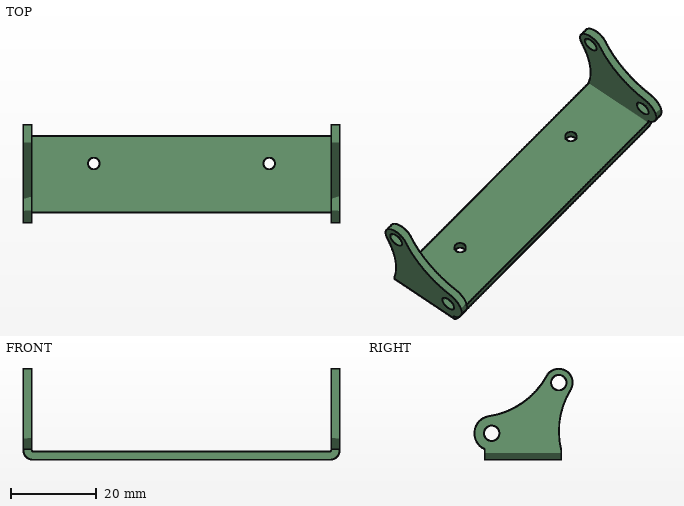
import cadquery as cq
import math

length = 74.0
thickness = 2.0
inner_bend_radius = 0.3
outer_bend_radius = thickness + inner_bend_radius
base_width = 17.9

base_hole_diameter = 2.7
base_hole_spacing = 41.0
base_hole_y = 2.5

upper_eye = (8.35, 18.05)
upper_eye_radius = 3.25
lower_eye = (-7.3, 6.2)
lower_eye_radius = 4.1
eye_hole_diameter = 3.55

back_arc_radius = 18.5
front_arc_radius = 18.5


def circle_crossing(first, first_radius, second, second_radius):
    """Crossing of two circles on the left of the line from first to second."""
    dy = second[0] - first[0]
    dz = second[1] - first[1]
    distance = math.hypot(dy, dz)
    along = (distance**2 + first_radius**2 - second_radius**2) / (2 * distance)
    aside = math.sqrt(first_radius**2 - along**2)
    return (
        first[0] + (along * dy - aside * dz) / distance,
        first[1] + (along * dz + aside * dy) / distance,
    )


def toward(start, target, distance):
    """Point at the given distance from start in the direction of target."""
    share = distance / math.dist(start, target)
    return (
        start[0] + share * (target[0] - start[0]),
        start[1] + share * (target[1] - start[1]),
    )


def midpoint(first, second):
    return ((first[0] + second[0]) / 2, (first[1] + second[1]) / 2)


def ear_blank():
    """Ear outline in the YZ plane, extruded over the full length."""
    back_foot = (base_width / 2, outer_bend_radius)
    front_foot_y = -base_width / 2
    front_foot_drop = math.sqrt(lower_eye_radius**2 - (front_foot_y - lower_eye[0]) ** 2)
    front_foot = (front_foot_y, lower_eye[1] - front_foot_drop)

    back_centre = circle_crossing(
        upper_eye, upper_eye_radius + back_arc_radius, back_foot, back_arc_radius
    )
    front_centre = circle_crossing(
        lower_eye,
        lower_eye_radius + front_arc_radius,
        upper_eye,
        upper_eye_radius + front_arc_radius,
    )
    back_tangent = toward(upper_eye, back_centre, upper_eye_radius)
    upper_tangent = toward(upper_eye, front_centre, upper_eye_radius)
    lower_tangent = toward(lower_eye, front_centre, lower_eye_radius)

    back_middle = toward(back_centre, midpoint(back_foot, back_tangent), back_arc_radius)
    front_middle = toward(front_centre, midpoint(upper_tangent, lower_tangent), front_arc_radius)
    upper_eye_top = (upper_eye[0], upper_eye[1] + upper_eye_radius)
    lower_eye_tip = (lower_eye[0] - lower_eye_radius, lower_eye[1])

    return (
        cq.Workplane("YZ", origin=(-length / 2, 0, 0))
        .moveTo(base_width / 2, 0)
        .lineTo(*back_foot)
        .threePointArc(back_middle, back_tangent)
        .threePointArc(upper_eye_top, upper_tangent)
        .threePointArc(front_middle, lower_tangent)
        .threePointArc(lower_eye_tip, front_foot)
        .lineTo(front_foot_y, 0)
        .close()
        .extrude(length)
    )


def bent_sheet():
    """U-shaped sheet with rounded bends, wide enough to hold the ears."""
    height = upper_eye[1] + upper_eye_radius
    sheet_width = 2 * (upper_eye[0] + upper_eye_radius)
    outside = (
        cq.Workplane("XY")
        .box(length, sheet_width, height, centered=(True, True, False))
        .edges("|Y and <Z")
        .fillet(outer_bend_radius)
    )
    inside = (
        cq.Workplane("XY", origin=(0, 0, thickness))
        .box(length - 2 * thickness, sheet_width, height, centered=(True, True, False))
        .edges("|Y and <Z")
        .fillet(inner_bend_radius)
    )
    return outside.cut(inside)


eye_holes = (
    cq.Workplane("YZ", origin=(-length / 2, 0, 0))
    .pushPoints([upper_eye, lower_eye])
    .circle(eye_hole_diameter / 2)
    .extrude(length)
)
base_holes = (
    cq.Workplane("XY")
    .pushPoints([(side * base_hole_spacing / 2, base_hole_y) for side in (-1, 1)])
    .circle(base_hole_diameter / 2)
    .extrude(thickness)
)

result = bent_sheet().intersect(ear_blank()).cut(eye_holes).cut(base_holes)